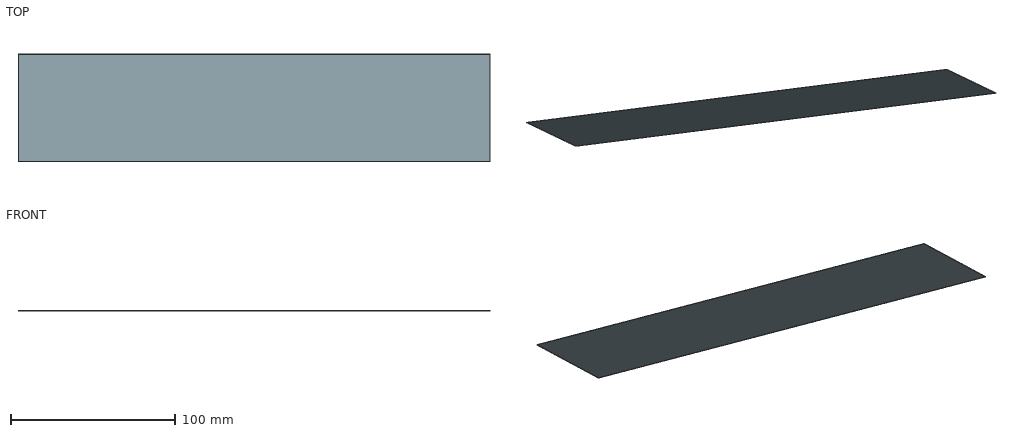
import cadquery as cq

length = 287.0
width = 65.5
thickness = 0.1

result = cq.Workplane("XY").box(length, width, thickness)